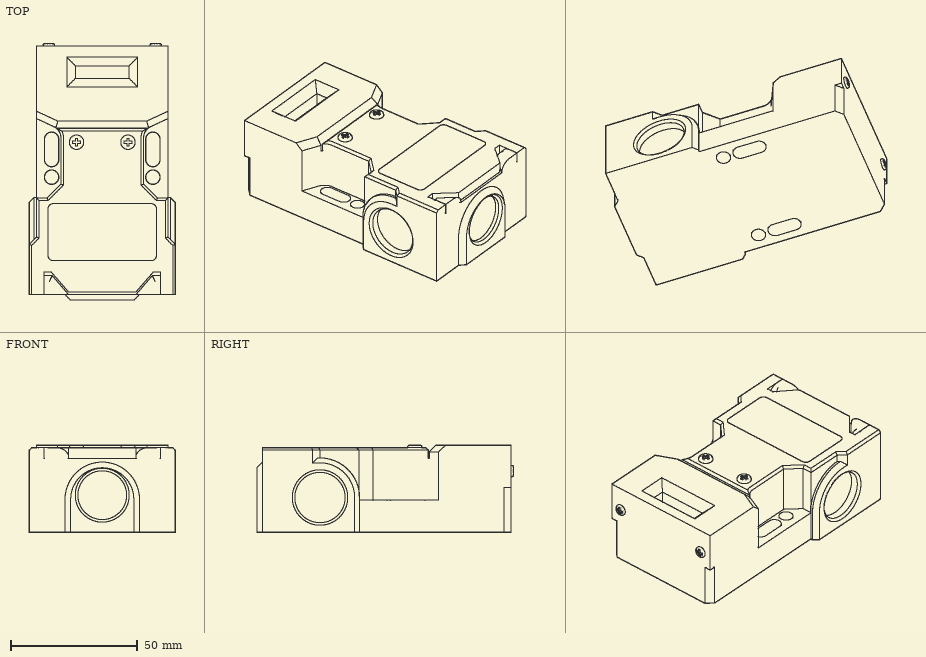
import cadquery as cq
import math


BODY_LENGTH = 98.6
BLOCK_HALF_WIDTH = 58.0 / 2
HEAD_HALF_WIDTH = 26.1
NECK_HALF_WIDTH = 16.4
FLANGE_HEIGHT = 12.8
HEAD_HEIGHT = 34.6
BLOCK_BACK = 38.3
NECK_TAPER = 5.5
HEAD_SIDE_FRONT = 69.8
HEAD_SLANT_DROP = 4.0
HEAD_SLANT_RUN = 8.6
NECK_FILLET = 4.8
HEAD_CHAMFER = 2.6

LID_TOP = 33.6
LID_BOTTOM = 29.3
LID_BACK = 65.8
LID_CHAMFER = 1.0
SPLIT_GAP = 0.3

CUT_HALF_WIDTH = 23.1
CUT_BACK = 8.9
CUT_SHOULDER = 20.2
CUT_NOSE_HALF_WIDTH = 13.3
CUT_NOSE_DEPTH = 1.0
PAD_BACK = 7.5
PAD_SHOULDER = 19.9
PAD_ROUNDING = 3.8
PAD_SIDE_GAP = 0.1

LABEL_LENGTH = 43.0
LABEL_WIDTH = 22.6
LABEL_CENTER_Y = 24.7
LABEL_CORNER = 2.0
LABEL_DEPTH = 0.1

ENTRY_EMBED = 3.1
SIDE_ENTRY_Y = 22.8
SIDE_ENTRY_Z = 13.9
SIDE_BOSS_RADIUS = 15.7
SIDE_BOSS_CHAMFER = 1.9
SIDE_BOSS_FLAT = 5.1
SIDE_MOUTH_RADIUS = 11.0
FRONT_BOSS_DEPTH = 2.2
FRONT_BOSS_Z = 13.1
FRONT_BOSS_RADIUS = 14.8
FRONT_MOUTH_Z = 14.8
FRONT_MOUTH_RADIUS = 10.7
MOUTH_CHAMFER = 1.0
SIDE_MOUTH_DEPTH = 4.1
FRONT_MOUTH_DEPTH = 2.5

MOUNT_X = 20.1
MOUNT_DIAMETER = 5.6
MOUNT_HOLE_Y = 46.5
SLOT_Y = 57.5
SLOT_LENGTH = 13.6

KEY_Y = 88.2
KEY_LENGTH = 21.2
KEY_WIDTH = 4.9
KEY_FUNNEL = 3.5
KEY_DEPTH = 19.6

BACK_CORNER_HEIGHT = 17.7
BACK_CORNER_CHAMFER = 2.7

SCREW_HEIGHT = 1.0
LID_SCREW_X = 10.2
LID_SCREW_Y = 60.4
LID_SCREW_RADIUS = 2.9
BACK_SCREW_X = 21.2
BACK_SCREW_Z = 24.3
BACK_SCREW_RADIUS = 4.6 / 2
SCREW_ROUNDING = 0.8
CROSS_LENGTH = 3.1
CROSS_WIDTH = 0.9
CROSS_DEPTH = 0.6

MARGIN = 1.0


def block(x_range, y_range, z_range):
    """Box between the given limits."""
    (x0, x1), (y0, y1), (z0, z1) = x_range, y_range, z_range
    return cq.Workplane("XY").box(x1 - x0, y1 - y0, z1 - z0, centered=False).translate((x0, y0, z0))


def slab(y_range, z_range):
    """Full-width box between the given limits."""
    return block((-BLOCK_HALF_WIDTH, BLOCK_HALF_WIDTH), y_range, z_range)


def with_mirror(half):
    """The shape together with its mirror image across the middle plane."""
    return half.union(half.mirror("YZ"))


def mirrored_outline(points):
    """Symmetric closed outline from the points of its right-hand half."""
    return points + [(-x, y) for x, y in reversed(points)]


def upper_body():
    """Neck, head and front block above the flange."""
    front = -2 * LID_CHAMFER
    taper_back = BLOCK_BACK + NECK_TAPER
    step_run = BLOCK_HALF_WIDTH - HEAD_HALF_WIDTH
    neck_excess = HEAD_HALF_WIDTH - HEAD_SLANT_RUN - NECK_HALF_WIDTH
    slant = HEAD_SLANT_DROP / HEAD_SLANT_RUN
    neck_back = HEAD_SIDE_FRONT - HEAD_SLANT_DROP - neck_excess * slant
    outline = mirrored_outline([
        (BLOCK_HALF_WIDTH, front),
        (BLOCK_HALF_WIDTH, SIDE_ENTRY_Y - step_run),
        (HEAD_HALF_WIDTH, SIDE_ENTRY_Y),
        (HEAD_HALF_WIDTH, BLOCK_BACK),
        (NECK_HALF_WIDTH + NECK_TAPER, BLOCK_BACK),
        (NECK_HALF_WIDTH, taper_back),
        (NECK_HALF_WIDTH, neck_back),
        (HEAD_HALF_WIDTH, HEAD_SIDE_FRONT),
        (HEAD_HALF_WIDTH, BODY_LENGTH),
    ])
    neck_corners = cq.selectors.BoxSelector(
        (-NECK_HALF_WIDTH - MARGIN, neck_back - MARGIN, 0),
        (NECK_HALF_WIDTH + MARGIN, neck_back + MARGIN, HEAD_HEIGHT),
    )
    whole = cq.Workplane("XY").polyline(outline).close().extrude(HEAD_HEIGHT)
    whole = whole.edges("|Z").edges(neck_corners).fillet(NECK_FILLET)

    lid = whole.intersect(slab((front, LID_BACK), (0, LID_TOP)))
    lid = lid.faces(">Z").edges().chamfer(LID_CHAMFER)
    lid = lid.intersect(slab((0, LID_BACK), (0, LID_TOP)))

    head = whole.intersect(slab((LID_BACK + SPLIT_GAP, BODY_LENGTH), (0, HEAD_HEIGHT)))
    flank_edges = cq.selectors.BoxSelector(
        (-HEAD_HALF_WIDTH, LID_BACK, HEAD_HEIGHT - MARGIN),
        (HEAD_HALF_WIDTH, HEAD_SIDE_FRONT, HEAD_HEIGHT + MARGIN),
    )
    head = head.faces(">Z").edges(flank_edges).chamfer(HEAD_CHAMFER)

    below_gap = whole.intersect(slab((LID_BACK, LID_BACK + SPLIT_GAP), (0, LID_BOTTOM)))
    return lid.union(head).union(below_gap)


def flange():
    return block((-HEAD_HALF_WIDTH, HEAD_HALF_WIDTH), (0, BODY_LENGTH), (0, FLANGE_HEIGHT))


def lid_cutout():
    """Opening along the front edge of the lid."""
    outline = mirrored_outline([
        (CUT_HALF_WIDTH, 0),
        (CUT_HALF_WIDTH, CUT_BACK),
        (CUT_SHOULDER, CUT_BACK),
        (CUT_NOSE_HALF_WIDTH, CUT_NOSE_DEPTH),
    ])
    floor = cq.Workplane("XY", origin=(0, 0, LID_BOTTOM))
    return floor.polyline(outline).close().extrude(LID_TOP - LID_BOTTOM)


def corner_pads():
    """Pads at both ends of the cut-out, rounded towards the lid."""
    side = CUT_HALF_WIDTH - PAD_SIDE_GAP
    pad = (
        cq.Workplane("XY", origin=(0, 0, LID_BOTTOM))
        .polyline([(CUT_NOSE_HALF_WIDTH, 0), (side, 0), (side, PAD_BACK), (PAD_SHOULDER, PAD_BACK)])
        .close()
        .extrude(LID_TOP - LID_BOTTOM)
    )
    rounded_edges = pad.faces(">Z").edges("not(<Y or >X)")
    return with_mirror(rounded_edges.fillet(PAD_ROUNDING))


def label_recess():
    return (
        cq.Workplane("XY", origin=(0, LABEL_CENTER_Y, LID_TOP - LABEL_DEPTH))
        .rect(LABEL_LENGTH, LABEL_WIDTH)
        .extrude(LABEL_DEPTH)
        .edges("|Z")
        .fillet(LABEL_CORNER)
    )


def side_boss(face):
    """Boss around a side entry: leg, quarter round and a flat top that runs forward into the block."""
    radius = SIDE_BOSS_RADIUS
    shoulder = radius * math.sqrt(0.5)
    boss = (
        face.moveTo(-SIDE_BOSS_FLAT, 0)
        .lineTo(radius, 0)
        .lineTo(radius, SIDE_ENTRY_Z)
        .threePointArc((shoulder, SIDE_ENTRY_Z + shoulder), (0, SIDE_ENTRY_Z + radius))
        .lineTo(-SIDE_BOSS_FLAT, SIDE_ENTRY_Z + radius)
        .close()
        .extrude(-ENTRY_EMBED)
    )
    return boss.faces(">X").edges("not(<Z or <Y)").chamfer(SIDE_BOSS_CHAMFER)


def front_boss(face):
    """Boss around the front entry: a half round on straight legs down to the bottom."""
    radius = FRONT_BOSS_RADIUS
    boss = (
        face.moveTo(-radius, 0)
        .lineTo(radius, 0)
        .lineTo(radius, FRONT_BOSS_Z)
        .threePointArc((0, FRONT_BOSS_Z + radius), (-radius, FRONT_BOSS_Z))
        .close()
        .extrude(-ENTRY_EMBED)
    )
    return boss.faces("<Y").edges("not(<Z)").chamfer(FRONT_BOSS_DEPTH)


def entry_recess(face, radius, center_z, depth):
    """Round blind recess with a bevelled mouth."""
    floor_radius = radius - MOUTH_CHAMFER
    bore = face.center(0, center_z).circle(floor_radius).extrude(-depth)
    bevel = face.center(0, center_z).circle(radius).extrude(-MOUTH_CHAMFER, taper=45)
    return bore.union(bevel)


def mounting_holes():
    slot_center = cq.Workplane("XY", origin=(MOUNT_X, SLOT_Y, 0))
    slot = slot_center.slot2D(SLOT_LENGTH, MOUNT_DIAMETER, 90).extrude(FLANGE_HEIGHT)
    hole_center = cq.Workplane("XY", origin=(MOUNT_X, MOUNT_HOLE_Y, 0))
    hole = hole_center.circle(MOUNT_DIAMETER / 2).extrude(FLANGE_HEIGHT)
    return with_mirror(slot.union(hole))


def key_opening():
    """Blind key slot in the top of the head with a flared lead-in."""
    top = cq.Workplane("XY", origin=(0, KEY_Y, HEAD_HEIGHT))
    funnel = top.rect(KEY_LENGTH + 2 * KEY_FUNNEL, KEY_WIDTH + 2 * KEY_FUNNEL).extrude(-KEY_FUNNEL, taper=45)
    return funnel.union(top.rect(KEY_LENGTH, KEY_WIDTH).extrude(-KEY_DEPTH))


def back_corner_cuts():
    """Wedges that bevel the upright back corners below the head."""
    corner_x = HEAD_HALF_WIDTH
    wedge = (
        cq.Workplane("XY")
        .polyline([
            (corner_x, BODY_LENGTH - BACK_CORNER_CHAMFER),
            (corner_x, BODY_LENGTH),
            (corner_x - BACK_CORNER_CHAMFER, BODY_LENGTH),
        ])
        .close()
        .extrude(BACK_CORNER_HEIGHT)
    )
    return with_mirror(wedge)


def screw_head(radius):
    """Rounded screw head standing on the XY plane, with a cross recess."""
    head = cq.Workplane("XY").circle(radius).extrude(SCREW_HEIGHT)
    head = head.faces(">Z").edges().fillet(SCREW_ROUNDING)
    top = cq.Workplane("XY", origin=(0, 0, SCREW_HEIGHT))
    for length, width in ((CROSS_LENGTH, CROSS_WIDTH), (CROSS_WIDTH, CROSS_LENGTH)):
        head = head.cut(top.rect(length, width).extrude(-CROSS_DEPTH))
    return head


def screws():
    lid_screw = screw_head(LID_SCREW_RADIUS).translate((LID_SCREW_X, LID_SCREW_Y, LID_TOP))
    back_screw = screw_head(BACK_SCREW_RADIUS).rotate((0, 0, 0), (1, 0, 0), -90)
    back_screw = back_screw.translate((BACK_SCREW_X, BODY_LENGTH, BACK_SCREW_Z))
    return with_mirror(lid_screw).union(with_mirror(back_screw))


side_face = cq.Workplane("YZ", origin=(BLOCK_HALF_WIDTH, SIDE_ENTRY_Y, 0))
front_face = cq.Workplane("XZ", origin=(0, -FRONT_BOSS_DEPTH, 0))

result = upper_body().union(flange())
result = result.cut(lid_cutout()).union(corner_pads()).cut(label_recess())
result = result.union(with_mirror(side_boss(side_face)))
result = result.union(front_boss(front_face))
result = result.cut(with_mirror(entry_recess(side_face, SIDE_MOUTH_RADIUS, SIDE_ENTRY_Z, SIDE_MOUTH_DEPTH)))
result = result.cut(entry_recess(front_face, FRONT_MOUTH_RADIUS, FRONT_MOUTH_Z, FRONT_MOUTH_DEPTH))
result = result.cut(mounting_holes()).cut(key_opening()).cut(back_corner_cuts())
result = result.union(screws())